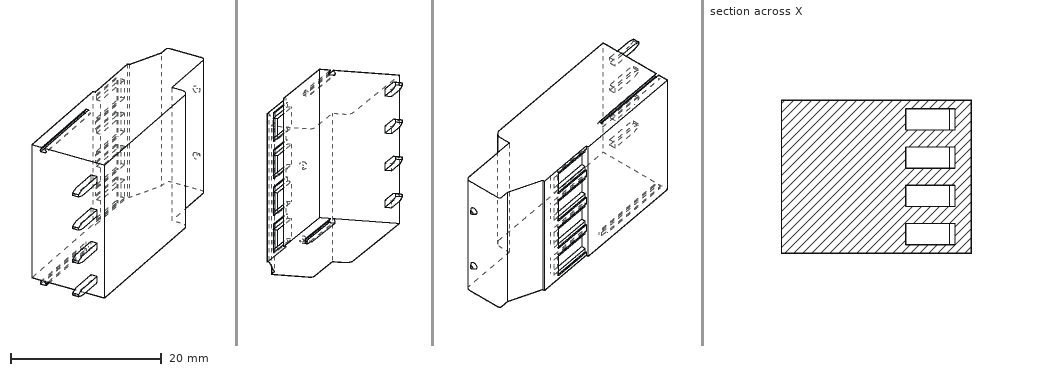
import cadquery as cq

POLES = 4
HOUSING_HEIGHT = 20.3
PITCH = HOUSING_HEIGHT / POLES

HOUSING_WIDTH = 11.1
PIN_LENGTH = 5.0
BUMP_HEIGHT = 0.48
TOTAL_LENGTH = 37.0
HOUSING_LENGTH = TOTAL_LENGTH - PIN_LENGTH - BUMP_HEIGHT
SIDE_STEP_X = 0.35
SIDE_STEP_Y = 16.5
SLANT_START_X = 0.63
SLANT_START_Y = 25.2
NOSE_LEFT_X = 2.78
NOSE_RIGHT_X = 8.6
SLANT_END_Y = 29.97
SHOULDER_Y = 22.57
SHOULDER_RADIUS = 1.0
NOSE_LEFT_RADIUS = 0.35
NOSE_RIGHT_RADIUS = 0.55

WINDOW_LENGTH = 5.77
WINDOW_HEIGHT = 3.92
WINDOW_DEPTH = 0.2
WELL_HEIGHT = 2.78
WELL_DEPTH = 0.6
WELL_UNDERCUT = 0.75

JOINT_X = 1.75
JOINT_LENGTH = 11.88
JOINT_NECK = 0.4
RAIL_WIDTH = 0.85
RAIL_HEIGHT = 0.6
RAIL_FLARE = 0.35
RAIL_LEAD = 1.0
GROOVE_WIDTH = 0.92
GROOVE_DEPTH = 0.65
GROOVE_FLARE = 0.48
GROOVE_FLOOR = 0.7

PIN_X = 9.5
PIN_WIDTH = 0.92
PIN_HEIGHT = 0.95
PIN_TIP_HEIGHT = 0.35
PIN_TAPER = 1.0

BUMP_X = 7.25
BUMP_RADIUS = 0.5
BUMP_TIP_RADIUS = 0.22
BUMP_PITCHES = (1, 3)


def make_housing():
    outline = [
        (0, 0),
        (HOUSING_WIDTH, 0),
        (HOUSING_WIDTH, SHOULDER_Y),
        (NOSE_RIGHT_X, SHOULDER_Y),
        (NOSE_RIGHT_X, HOUSING_LENGTH),
        (NOSE_LEFT_X, HOUSING_LENGTH),
        (NOSE_LEFT_X, SLANT_END_Y),
        (SLANT_START_X, SLANT_START_Y),
        (SIDE_STEP_X, SLANT_START_Y),
        (SIDE_STEP_X, SIDE_STEP_Y),
        (0, SIDE_STEP_Y),
    ]
    housing = cq.Workplane("XY").polyline(outline).close().extrude(HOUSING_HEIGHT)
    rounded_corners = [
        (HOUSING_WIDTH, SHOULDER_Y, SHOULDER_RADIUS),
        (NOSE_RIGHT_X, HOUSING_LENGTH, NOSE_RIGHT_RADIUS),
        (NOSE_LEFT_X, HOUSING_LENGTH, NOSE_LEFT_RADIUS),
    ]
    for x, y, radius in rounded_corners:
        corner = cq.selectors.NearestToPointSelector((x, y, HOUSING_HEIGHT / 2))
        housing = housing.edges(corner).fillet(radius)
    return housing


def make_window(center_z):
    """Shallow recess in the set-back left wall with a narrower well sunk into its floor."""
    recess = (
        cq.Workplane("XY")
        .box(WINDOW_DEPTH, WINDOW_LENGTH, WINDOW_HEIGHT, centered=(False, False, True))
        .translate((SIDE_STEP_X, SIDE_STEP_Y, center_z))
    )
    well = (
        cq.Workplane("XY")
        .box(WELL_DEPTH, WINDOW_LENGTH + WELL_UNDERCUT, WELL_HEIGHT, centered=(False, False, True))
        .translate((SIDE_STEP_X + WINDOW_DEPTH, SIDE_STEP_Y, center_z))
    )
    return recess.union(well)


def dovetail(neck_z, neck, width, flare, depth, end_width, length):
    """Bar along +Y hanging below neck_z: it widens over the flare, then closes to its end width."""
    outline = [
        (JOINT_X - neck / 2, neck_z),
        (JOINT_X + neck / 2, neck_z),
        (JOINT_X + width / 2, neck_z - flare),
        (JOINT_X + end_width / 2, neck_z - depth),
        (JOINT_X - end_width / 2, neck_z - depth),
        (JOINT_X - width / 2, neck_z - flare),
    ]
    return cq.Workplane("XZ").polyline(outline).close().extrude(-length)


def make_rail():
    flared_length = JOINT_LENGTH - RAIL_LEAD
    rail = dovetail(0, JOINT_NECK, RAIL_WIDTH, RAIL_FLARE, RAIL_HEIGHT, RAIL_WIDTH, flared_length)
    lead = (
        cq.Workplane("XY")
        .box(JOINT_NECK, RAIL_LEAD, RAIL_HEIGHT, centered=(True, False, False))
        .translate((JOINT_X, flared_length, -RAIL_HEIGHT))
    )
    return rail.union(lead)


def make_groove():
    return dovetail(
        HOUSING_HEIGHT, JOINT_NECK, GROOVE_WIDTH, GROOVE_FLARE, GROOVE_DEPTH, GROOVE_FLOOR, JOINT_LENGTH
    )


def make_pin(center_z):
    """Flat-sided pin along -Y whose end tapers in height only."""
    taper_y = PIN_TAPER - PIN_LENGTH
    outline = [
        (0, -PIN_HEIGHT / 2),
        (taper_y, -PIN_HEIGHT / 2),
        (-PIN_LENGTH, -PIN_TIP_HEIGHT / 2),
        (-PIN_LENGTH, PIN_TIP_HEIGHT / 2),
        (taper_y, PIN_HEIGHT / 2),
        (0, PIN_HEIGHT / 2),
    ]
    pin = cq.Workplane("YZ").polyline(outline).close().extrude(PIN_WIDTH / 2, both=True)
    return pin.translate((PIN_X, 0, center_z))


def make_bump(center_z):
    base = cq.Vector(BUMP_X, HOUSING_LENGTH, center_z)
    cone = cq.Solid.makeCone(BUMP_RADIUS, BUMP_TIP_RADIUS, BUMP_HEIGHT, pnt=base, dir=cq.Vector(0, 1, 0))
    return cq.Workplane(cone)


result = make_housing().cut(make_groove()).union(make_rail())

for pole in range(POLES):
    pole_z = (pole + 0.5) * PITCH
    result = result.cut(make_window(pole_z))
    result = result.union(make_pin(pole_z))

for pitches in BUMP_PITCHES:
    result = result.union(make_bump(pitches * PITCH))